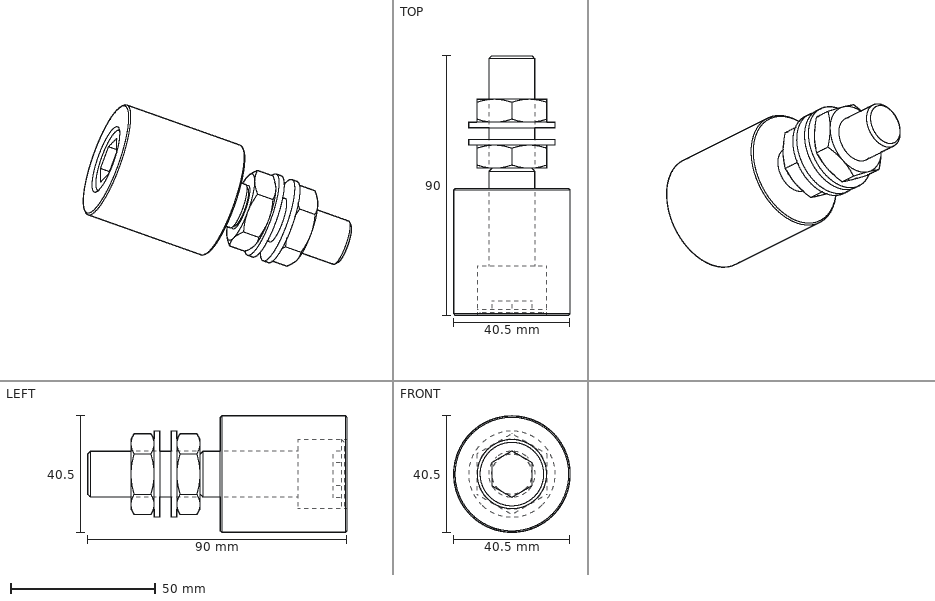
import cadquery as cq
import math

TOTAL_LENGTH = 90.0
ROLLER_DIAMETER = 40.5
ROLLER_LENGTH = 44.0
ROLLER_CHAMFER = 0.5

SHANK_DIAMETER = 16.0
SHANK_END_CHAMFER = 1.0
SHOULDER_CHAMFER = 1.1

HEAD_DIAMETER = 24.0
HEAD_HEIGHT = 16.0
HEAD_CHAMFER = 1.0
HEAD_RECESS = 1.0
HEAD_SEAT = HEAD_RECESS + HEAD_HEIGHT
SOCKET_FLATS = 13.95
SOCKET_DEPTH = 4.0

NUT_FLATS = 24.3
NUT_THICKNESS = 8.0
NUT_CHAMFER_ANGLE = 30.0
WASHER_DIAMETER = 30.0
WASHER_THICKNESS = 2.0
WASHER_GAP = 4.0
FRONT_NUT_Y = 51.0
FRONT_WASHER_Y = FRONT_NUT_Y + NUT_THICKNESS
REAR_WASHER_Y = FRONT_WASHER_Y + WASHER_THICKNESS + WASHER_GAP
REAR_NUT_Y = REAR_WASHER_Y + WASHER_THICKNESS


def corner_width(flats):
    """Width across the corners of a hexagon with the given width across flats."""
    return flats / math.cos(math.radians(30))


def plane_at(y):
    """Sketch plane normal to +Y, with its local X along +Z."""
    return cq.Workplane(cq.Plane(origin=(0, y, 0), xDir=(0, 0, 1), normal=(0, 1, 0)))


def cylinder(y, diameter, length):
    return plane_at(y).circle(diameter / 2).extrude(length)


def hexagon(y, flats, length):
    """Hexagonal prism with two corners on the Z axis."""
    return plane_at(y).polygon(6, corner_width(flats)).extrude(length)


def make_roller():
    body = cylinder(0, ROLLER_DIAMETER, ROLLER_LENGTH).faces("<Y or >Y").chamfer(ROLLER_CHAMFER)
    counterbore = cylinder(0, HEAD_DIAMETER, HEAD_SEAT)
    bore = cylinder(0, SHANK_DIAMETER, ROLLER_LENGTH)
    return body.cut(counterbore).cut(bore)


def make_screw():
    head = cylinder(HEAD_RECESS, HEAD_DIAMETER, HEAD_HEIGHT).faces("<Y").chamfer(HEAD_CHAMFER)
    shank = cylinder(HEAD_SEAT, SHANK_DIAMETER, FRONT_NUT_Y - HEAD_SEAT)
    shank = shank.faces(">Y").chamfer(SHOULDER_CHAMFER)
    stud = cylinder(FRONT_NUT_Y, SHANK_DIAMETER, TOTAL_LENGTH - FRONT_NUT_Y)
    stud = stud.faces(">Y").chamfer(SHANK_END_CHAMFER)
    socket = hexagon(HEAD_RECESS, SOCKET_FLATS, SOCKET_DEPTH)
    return head.union(shank).union(stud).cut(socket)


def make_nut(y):
    """Hexagon nut whose corners are trimmed by a cone at each end."""
    flat_radius = NUT_FLATS / 2
    corner_radius = corner_width(NUT_FLATS) / 2
    chamfer_height = (corner_radius - flat_radius) * math.tan(math.radians(NUT_CHAMFER_ANGLE))
    envelope = (
        cq.Workplane("XY")
        .moveTo(0, y)
        .lineTo(flat_radius, y)
        .lineTo(corner_radius, y + chamfer_height)
        .lineTo(corner_radius, y + NUT_THICKNESS - chamfer_height)
        .lineTo(flat_radius, y + NUT_THICKNESS)
        .lineTo(0, y + NUT_THICKNESS)
        .close()
        .revolve(360, (0, 0, 0), (0, 1, 0))
    )
    bore = cylinder(y, SHANK_DIAMETER, NUT_THICKNESS)
    return hexagon(y, NUT_FLATS, NUT_THICKNESS).intersect(envelope).cut(bore)


def make_washer(y):
    bore = cylinder(y, SHANK_DIAMETER, WASHER_THICKNESS)
    return cylinder(y, WASHER_DIAMETER, WASHER_THICKNESS).cut(bore)


roller = make_roller()
screw = make_screw()
nuts = [make_nut(y).val() for y in (FRONT_NUT_Y, REAR_NUT_Y)]
washers = [make_washer(y).val() for y in (FRONT_WASHER_Y, REAR_WASHER_Y)]

result = cq.Compound.makeCompound([roller.val(), screw.val(), *nuts, *washers])